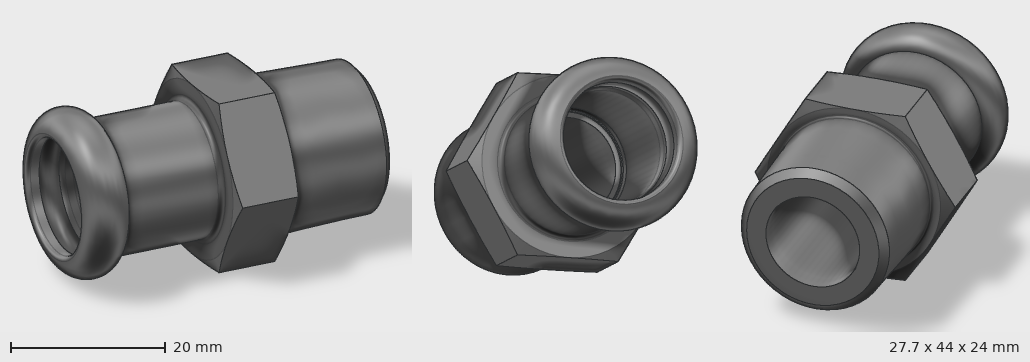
import cadquery as cq
import math


total_length = 44.0
bead_length = 6.45
bead_crest_place = 3.35
hex_start = 20.0
hex_length = 9.0
end_chamfer_length = 0.95

tube_radius = 18.3 / 2
bead_radius = 22.75 / 2
mouth_radius = 8.45
hex_across_flats = 24.0
hex_chamfer_angle = 15.0
tube_fillet = 0.7
taper_base_radius = 10.65
taper_tip_radius = 10.25
taper_end_radius = 18.3 / 2
taper_fillet = 0.35

seal_seat_radius = 15.7 / 2
groove_start = 1.85
groove_end = 4.7
groove_depth = 2.0
seal_seat_end = 5.6
socket_radius = 15.3 / 2
socket_start = 6.6
socket_end = 19.35
socket_cone_length = 0.45
shoulder_radius = 7.4
stop_recess_radius = 7.2
stop_recess_length = 0.45
bore_radius = 13.0 / 2

hex_end = hex_start + hex_length
hex_across_corners = hex_across_flats / math.cos(math.radians(30))
lip_round = mouth_radius - seal_seat_radius
groove_middle = (groove_start + groove_end) / 2
shoulder_place = socket_end + socket_cone_length
stop_place = shoulder_place + stop_recess_length


def point_on_circle(center_x, center_y, radius, angle):
    """Point on a circle, with the angle in degrees from the radial direction."""
    turn = math.radians(angle)
    return center_x + radius * math.cos(turn), center_y + radius * math.sin(turn)


def revolve_about_y(profile):
    return profile.close().revolve(360, (0, 0, 0), (0, 1, 0))


def make_outer_body():
    tube_fillet_start = hex_start - tube_fillet
    taper_fillet_end = hex_end + taper_fillet
    profile = (
        cq.Workplane("XY")
        .lineTo(mouth_radius, 0)
        .threePointArc((bead_radius, bead_crest_place), (tube_radius, bead_length))
        .lineTo(tube_radius, tube_fillet_start)
        .threePointArc(
            point_on_circle(tube_radius + tube_fillet, tube_fillet_start, tube_fillet, 135),
            (tube_radius + tube_fillet, hex_start),
        )
        .lineTo(taper_base_radius + taper_fillet, hex_end)
        .threePointArc(
            point_on_circle(taper_base_radius + taper_fillet, taper_fillet_end, taper_fillet, 225),
            (taper_base_radius, taper_fillet_end),
        )
        .lineTo(taper_tip_radius, total_length - end_chamfer_length)
        .lineTo(taper_end_radius, total_length)
        .lineTo(0, total_length)
    )
    return revolve_about_y(profile)


def make_hex():
    """Hexagon with corners on +X and -X, both ends chamfered by a shallow cone."""
    flat_radius = hex_across_flats / 2
    corner_radius = hex_across_corners / 2
    chamfer_drop = (corner_radius - flat_radius) * math.tan(math.radians(hex_chamfer_angle))
    prism = (
        cq.Workplane("XZ", origin=(0, hex_end, 0))
        .polygon(6, hex_across_corners)
        .extrude(hex_length)
    )
    envelope = (
        cq.Workplane("XY")
        .moveTo(0, hex_start)
        .lineTo(flat_radius, hex_start)
        .lineTo(corner_radius, hex_start + chamfer_drop)
        .lineTo(corner_radius, hex_end - chamfer_drop)
        .lineTo(flat_radius, hex_end)
        .lineTo(0, hex_end)
    )
    return prism.intersect(revolve_about_y(envelope))


def make_passage():
    """Rounded lip, seal groove, tube socket with its stepped stop, and through bore."""
    profile = (
        cq.Workplane("XY")
        .lineTo(mouth_radius, 0)
        .threePointArc(
            point_on_circle(mouth_radius, lip_round, lip_round, 225),
            (seal_seat_radius, lip_round),
        )
        .lineTo(seal_seat_radius, groove_start)
        .threePointArc(
            (seal_seat_radius + groove_depth, groove_middle),
            (seal_seat_radius, groove_end),
        )
        .lineTo(seal_seat_radius, seal_seat_end)
        .lineTo(socket_radius, socket_start)
        .lineTo(socket_radius, socket_end)
        .lineTo(shoulder_radius, shoulder_place)
        .lineTo(stop_recess_radius, shoulder_place)
        .lineTo(stop_recess_radius, stop_place)
        .lineTo(bore_radius, stop_place)
        .lineTo(bore_radius, total_length)
        .lineTo(0, total_length)
    )
    return revolve_about_y(profile)


result = make_outer_body().union(make_hex()).cut(make_passage())